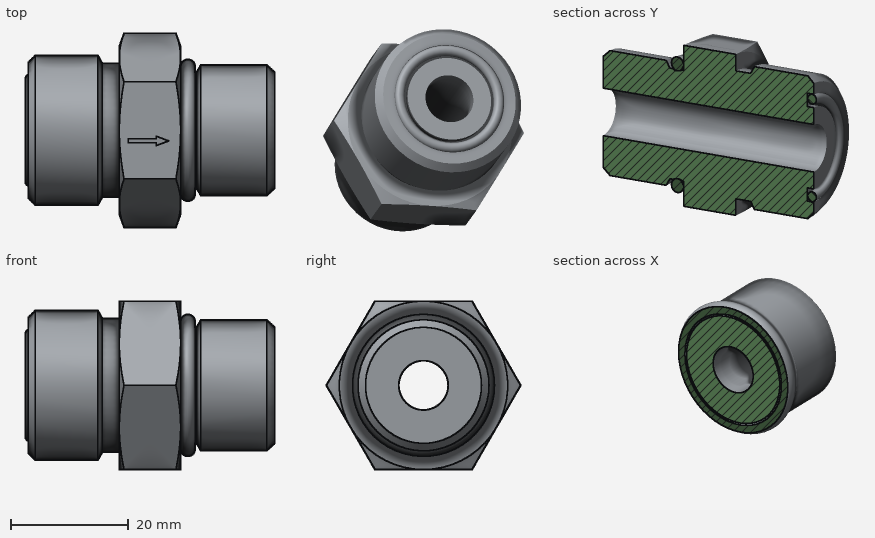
import cadquery as cq
import math


bore_diameter = 8.33

seal_thread_diameter = 25.4
seal_thread_length = 12.58
seal_neck_diameter = 22.76
seal_tip_chamfer = 1.19

hex_start = 15.45
hex_length = 10.4
hex_end = hex_start + hex_length
hex_across_flats = 28.57
hex_across_corners = hex_across_flats / math.cos(math.radians(30))
hex_chamfer_angle = 20.0

boss_thread_diameter = 22.23
boss_neck_diameter = 19.68
boss_neck_length = 2.7
boss_tip_chamfer_length = 1.4

runout_angle = 60.0

face_ring_section = 1.78
face_ring_outer_diameter = 19.05
face_ring_projection = 0.53
face_groove_inner_diameter = 14.48
face_groove_depth = face_ring_section - face_ring_projection

boss_ring_section = 2.46
boss_ring_outer_diameter = 24.1

overall_length = 42.37
body_length = overall_length - face_ring_projection

arrow_depth = 0.1
arrow_tail_offset = 1.54
arrow_shaft_length = 4.7
arrow_head_length = 2.15
arrow_shaft_width = 0.67
arrow_head_width = 1.6
arrow_center_y = -1.8


def runout_length(thread_diameter, neck_diameter):
    """Axial length of the cone between a thread and its neck."""
    return (thread_diameter - neck_diameter) / 2 / math.tan(math.radians(runout_angle))


def revolve_about_x(profile):
    """Turn an (X, radius) profile about the X axis."""
    return profile.close().revolve(360, (0, 0, 0), (1, 0, 0))


def make_ring(center_x, section, outer_diameter):
    """O-ring of round section, centred on the X axis."""
    center_radius = (outer_diameter - section) / 2
    return (
        cq.Workplane("XY")
        .center(center_x, center_radius)
        .circle(section / 2)
        .revolve(360, (0, -center_radius, 0), (1, -center_radius, 0))
    )


def make_turned_shape():
    """Both threaded ends and their necks, as one turned solid."""
    seal_runout = runout_length(seal_thread_diameter, seal_neck_diameter)
    boss_runout = runout_length(boss_thread_diameter, boss_neck_diameter)
    boss_start = hex_end + boss_neck_length
    seal_radius = seal_thread_diameter / 2
    seal_neck_radius = seal_neck_diameter / 2
    boss_radius = boss_thread_diameter / 2
    boss_neck_radius = boss_neck_diameter / 2
    profile = (
        cq.Workplane("XY")
        .lineTo(0, seal_radius - seal_tip_chamfer)
        .lineTo(seal_tip_chamfer, seal_radius)
        .lineTo(seal_thread_length - seal_runout, seal_radius)
        .lineTo(seal_thread_length, seal_neck_radius)
        .lineTo(hex_end, seal_neck_radius)
        .lineTo(hex_end, boss_neck_radius)
        .lineTo(boss_start, boss_neck_radius)
        .lineTo(boss_start + boss_runout, boss_radius)
        .lineTo(body_length - boss_tip_chamfer_length, boss_radius)
        .lineTo(body_length, boss_neck_radius)
        .lineTo(body_length, 0)
    )
    return revolve_about_x(profile)


def make_hex():
    """Hexagon with corners on +Y and -Y, its corners chamfered at both ends."""
    prism = (
        cq.Workplane("YZ", origin=(hex_start, 0, 0))
        .polygon(6, hex_across_corners)
        .extrude(hex_length)
    )
    face_radius = hex_across_flats / 2
    corner_radius = hex_across_corners / 2
    chamfer = (corner_radius - face_radius) * math.tan(math.radians(hex_chamfer_angle))
    envelope = revolve_about_x(
        cq.Workplane("XY")
        .moveTo(hex_start, 0)
        .lineTo(hex_start, face_radius)
        .lineTo(hex_start + chamfer, corner_radius)
        .lineTo(hex_end - chamfer, corner_radius)
        .lineTo(hex_end, face_radius)
        .lineTo(hex_end, 0)
    )
    return prism.intersect(envelope)


def make_face_groove():
    """Annular space for the face-seal O-ring."""
    return (
        cq.Workplane("YZ")
        .circle(face_ring_outer_diameter / 2)
        .circle(face_groove_inner_diameter / 2)
        .extrude(face_groove_depth)
    )


def make_arrow():
    """Arrow pointing along +X, cut down from the top flat."""
    tail_x = hex_start + arrow_tail_offset
    head_x = tail_x + arrow_shaft_length
    tip_x = head_x + arrow_head_length
    top = hex_across_flats / 2
    return (
        cq.Workplane("XY", origin=(0, arrow_center_y, top))
        .moveTo(tail_x, arrow_shaft_width / 2)
        .lineTo(head_x, arrow_shaft_width / 2)
        .lineTo(head_x, arrow_head_width / 2)
        .lineTo(tip_x, 0)
        .lineTo(head_x, -arrow_head_width / 2)
        .lineTo(head_x, -arrow_shaft_width / 2)
        .lineTo(tail_x, -arrow_shaft_width / 2)
        .close()
        .extrude(-arrow_depth)
    )


def make_body(boss_ring):
    """Adapter body, with a seat in the boss neck that matches the boss O-ring."""
    bore = cq.Workplane("YZ").circle(bore_diameter / 2).extrude(body_length)
    return (
        make_turned_shape()
        .union(make_hex())
        .cut(bore)
        .cut(make_face_groove())
        .cut(make_arrow())
        .cut(boss_ring)
        .solids()
    )


face_ring = make_ring(
    face_ring_section / 2 - face_ring_projection,
    face_ring_section,
    face_ring_outer_diameter,
)
boss_ring = make_ring(
    hex_end + boss_ring_section / 2,
    boss_ring_section,
    boss_ring_outer_diameter,
)
adapter_body = make_body(boss_ring)

result = cq.Compound.makeCompound([adapter_body.val(), face_ring.val(), boss_ring.val()])